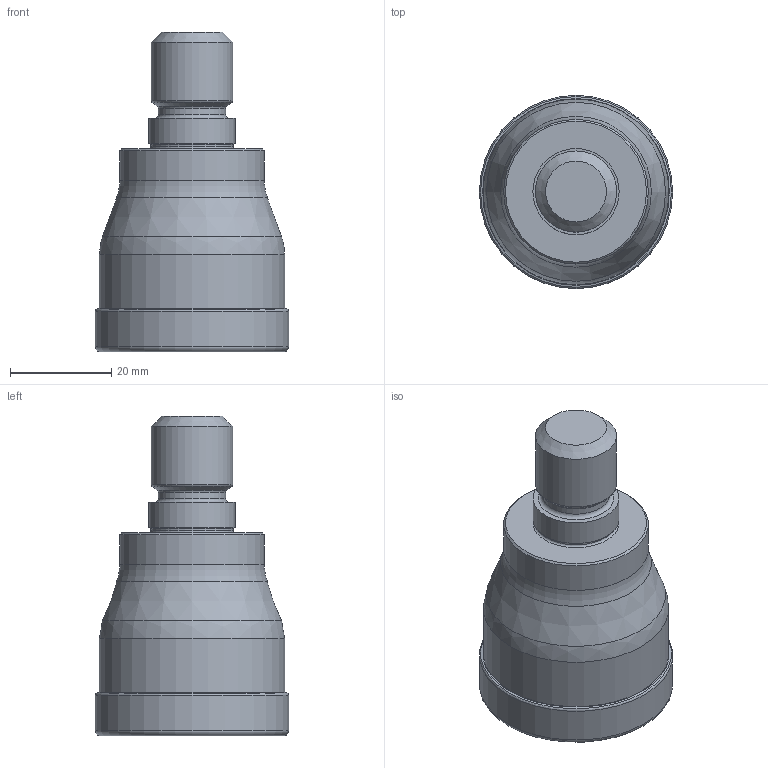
import cadquery as cq
import math

total_height = 63.0

base_radius = 19.05
base_height = 8.5
base_bevel_inner_radius = 18.4
base_bevel_drop = 0.1
base_rim_width = 0.25
base_rim_height = 0.45
base_bottom_fillet = 1.0

skirt_radius = 18.25
head_radius = 14.25
housing_top = 40.0
head_bottom = 33.75
head_chamfer = 0.35
shoulder_angle = math.radians(20)
shoulder_blend_radius = 10.0

collar_radius = 8.5
collar_bottom = 41.0
collar_top = 46.0
neck_radius = 8.1
neck_lower_fillet = 0.4
neck_upper_fillet = 0.2

stud_radius = 8.0
stud_bottom = 49.5
stud_chamfer = 2.0
groove_radius = 6.65
groove_fillet = 0.8
flank_angle = math.radians(55)
flank_blend_radius = 0.5


def blended_taper(profile, lower_radius, upper_radius, start_z, angle, blend_radius):
    """Add a cone between two cylinders, going up, with a tangent arc at each end.

    The angle is measured from the part's axis. Radii are across, heights are up.
    """
    outward = math.copysign(1, upper_radius - lower_radius)
    end_z = start_z + taper_height(lower_radius, upper_radius, angle, blend_radius)

    def lower_arc(turn):
        radius = lower_radius + outward * blend_radius * (1 - math.cos(turn))
        return radius, start_z + blend_radius * math.sin(turn)

    def upper_arc(turn):
        radius = upper_radius - outward * blend_radius * (1 - math.cos(turn))
        return radius, end_z - blend_radius * math.sin(turn)

    return (
        profile
        .lineTo(lower_radius, start_z)
        .threePointArc(lower_arc(angle / 2), lower_arc(angle))
        .lineTo(*upper_arc(angle))
        .threePointArc(upper_arc(angle / 2), upper_arc(0))
    )


def taper_height(lower_radius, upper_radius, angle, blend_radius):
    """Height of a blended taper, both end arcs included."""
    flank_width = abs(upper_radius - lower_radius) - 2 * blend_radius * (1 - math.cos(angle))
    return 2 * blend_radius * math.sin(angle) + flank_width / math.tan(angle)


def make_base():
    """Round disc under the housing, with a shallow bevel and a rounded rim on top and a fillet below."""
    rim_top = base_height - base_bevel_drop

    rim_radius = (base_rim_width**2 + base_rim_height**2) / (2 * base_rim_width)
    profile = (
        cq.Workplane("XZ")
        .lineTo(base_radius, 0)
        .lineTo(base_radius, rim_top - base_rim_height)
        .radiusArc((base_radius - base_rim_width, rim_top), -rim_radius)
        .lineTo(base_bevel_inner_radius, base_height)
        .lineTo(0, base_height)
        .close()
    )
    disc = profile.revolve(360, (0, 0, 0), (0, 1, 0))
    return disc.faces("<Z").edges().fillet(base_bottom_fillet)


def make_studded_housing():
    """Housing and stud turned as one piece, standing on the base."""
    shoulder_bottom = head_bottom - taper_height(
        skirt_radius, head_radius, shoulder_angle, shoulder_blend_radius
    )
    flank_bottom = stud_bottom - taper_height(
        groove_radius, stud_radius, flank_angle, flank_blend_radius
    )

    profile = cq.Workplane("XZ").moveTo(0, base_height).lineTo(skirt_radius, base_height)

    profile = blended_taper(
        profile, skirt_radius, head_radius, shoulder_bottom, shoulder_angle, shoulder_blend_radius
    )
    profile = (
        profile
        .lineTo(head_radius, housing_top - head_chamfer)
        .lineTo(head_radius - head_chamfer, housing_top)
    )

    profile = (
        profile
        .lineTo(neck_radius + neck_lower_fillet, housing_top)
        .radiusArc((neck_radius, housing_top + neck_lower_fillet), neck_lower_fillet)
        .lineTo(neck_radius, collar_bottom - neck_upper_fillet)
        .radiusArc((neck_radius + neck_upper_fillet, collar_bottom), neck_upper_fillet)
        .lineTo(collar_radius, collar_bottom)
        .lineTo(collar_radius, collar_top)
    )

    profile = (
        profile
        .lineTo(groove_radius + groove_fillet, collar_top)
        .radiusArc((groove_radius, collar_top + groove_fillet), groove_fillet)
    )
    profile = blended_taper(
        profile, groove_radius, stud_radius, flank_bottom, flank_angle, flank_blend_radius
    )

    profile = (
        profile
        .lineTo(stud_radius, total_height - stud_chamfer)
        .lineTo(stud_radius - stud_chamfer, total_height)
        .lineTo(0, total_height)
        .close()
    )
    return profile.revolve(360, (0, 0, 0), (0, 1, 0))


base = make_base()
studded_housing = make_studded_housing()

result = cq.Compound.makeCompound([base.val(), studded_housing.val()])